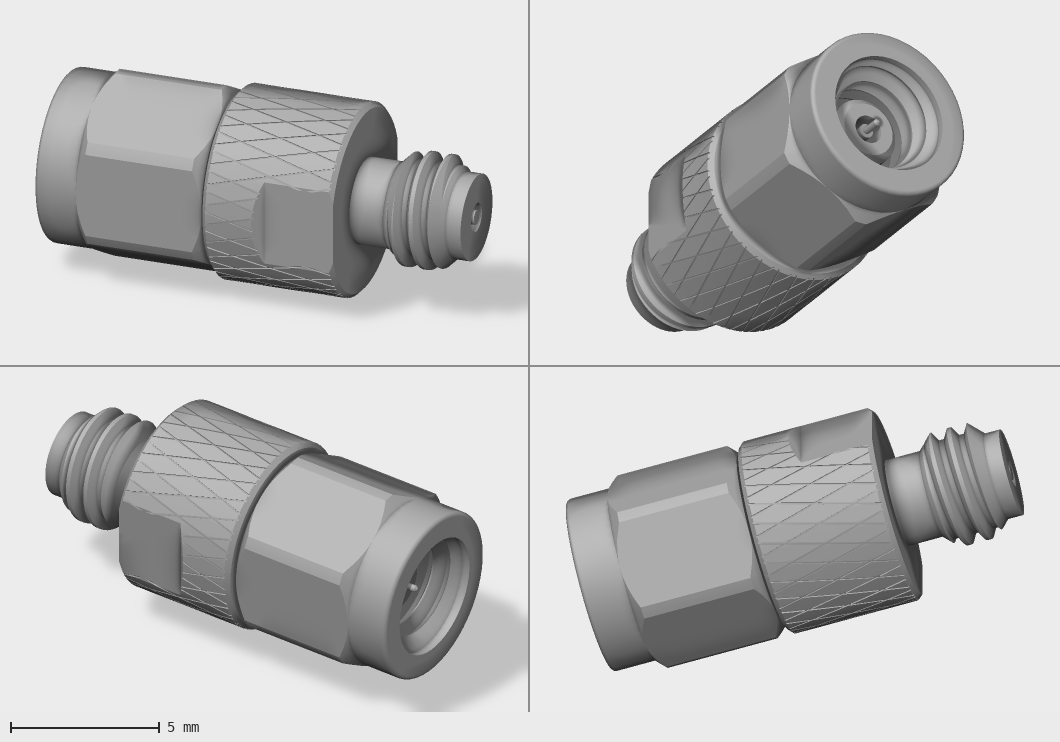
import cadquery as cq
import math


TOTAL_LENGTH = 14.79
OUTER_RADIUS = 3.35
FLAT_DISTANCE = 3.0
THREAD_PITCH = 0.7
THREAD_MAJOR_RADIUS = 2.0
FLANK_SLOPE = math.tan(math.radians(30))
OVERRUN = 0.07
OVERLAP = 0.03

HEX_START = 1.5
NUT_END = 6.03
COLLAR_EDGE_RADIUS = 0.15
MOUTH_RADIUS = 2.1
MOUTH_DEPTH = 0.3
NUT_THREAD_MINOR_RADIUS = 1.57
NUT_THREAD_ROOT_WIDTH = 0.15
NUT_THREAD_TURNS = 5
NUT_THREAD_START = -0.28

SLEEVE_START = 1.35
SLEEVE_RADIUS = 1.2
SLEEVE_CHAMFER = 0.25
NECK_START = 3.0
NECK_RADIUS = 2.13
BAND_START = 6.14
BAND_END = 10.78
BAND_CHAMFER = 0.16
FLAT_START = 8.3
SHAFT_RADIUS = 1.5
BORE_RADIUS = 0.5

KNURL_COUNT = 30
KNURL_ANGLE = 15.0
KNURL_DEPTH = 0.05
KNURL_WIDTH = 0.06

BARREL_THREAD_START = 11.98
BARREL_THREAD_END = 14.26
BARREL_THREAD_CORE_RADIUS = 1.67
BARREL_THREAD_CREST_WIDTH = 0.15
BARREL_THREAD_TURNS = 5
BARREL_RIDGE_START = 11.43

PIN_START = 0.7
PIN_STEP = 1.48
PIN_RADIUS = 0.25
PIN_TIP_RADIUS = 0.12
PIN_TIP_CHAMFER = 0.07


def across_axis(x):
    """Workplane square to the X axis, with local x along +Y and local y along +Z."""
    return cq.Workplane(cq.Plane(origin=(x, 0, 0), xDir=(0, 1, 0), normal=(1, 0, 0)))


def cylinder(radius, start, end):
    return across_axis(start).circle(radius).extrude(end - start)


def turned(profile):
    """Solid of revolution about the X axis from (x, radius) points."""
    return cq.Workplane("XY").polyline(profile).close().revolve(360, (0, 0, 0), (1, 0, 0))


def helical_bar(inner_radius, outer_radius, outer_width, start, turns):
    """Right-handed thread form, narrower at its outer radius, whose centre starts at +Y."""
    inner_width = outer_width + 2 * FLANK_SLOPE * (outer_radius - inner_radius)
    path = cq.Wire.makeHelix(THREAD_PITCH, turns * THREAD_PITCH, inner_radius)
    form = [
        (inner_radius, -inner_width / 2),
        (outer_radius, -outer_width / 2),
        (outer_radius, outer_width / 2),
        (inner_radius, inner_width / 2),
    ]
    bar = cq.Workplane("XZ").polyline(form).close().sweep(cq.Workplane(obj=path), isFrenet=True)
    return cq.Workplane(obj=bar.val().moved(cq.Location(across_axis(start).plane)))


def make_nut():
    corner_height = OUTER_RADIUS - FLAT_DISTANCE
    blank = turned([
        (HEX_START, 0),
        (HEX_START, FLAT_DISTANCE),
        (HEX_START + corner_height, OUTER_RADIUS),
        (NUT_END - corner_height, OUTER_RADIUS),
        (NUT_END, FLAT_DISTANCE),
        (NUT_END, 0),
    ])
    hexagon = (
        across_axis(HEX_START)
        .polygon(6, 2 * FLAT_DISTANCE, circumscribed=True)
        .extrude(NUT_END - HEX_START)
    )
    collar = cylinder(FLAT_DISTANCE, 0, HEX_START).faces("<X").edges().fillet(COLLAR_EDGE_RADIUS)

    thread_bore = cylinder(NUT_THREAD_MINOR_RADIUS, 0, NUT_END)
    groove = helical_bar(
        NUT_THREAD_MINOR_RADIUS - OVERLAP,
        THREAD_MAJOR_RADIUS,
        NUT_THREAD_ROOT_WIDTH,
        NUT_THREAD_START,
        NUT_THREAD_TURNS,
    )
    lead_in_end = MOUTH_DEPTH + MOUTH_RADIUS - NUT_THREAD_MINOR_RADIUS
    mouth = turned([
        (0, 0),
        (0, MOUTH_RADIUS),
        (MOUTH_DEPTH, MOUTH_RADIUS),
        (lead_in_end, NUT_THREAD_MINOR_RADIUS),
        (lead_in_end, 0),
    ])
    rear_bore = cylinder(NECK_RADIUS, NECK_START, NUT_END)
    body = blank.intersect(hexagon).union(collar)
    return body.cut(thread_bore).cut(groove).cut(mouth).cut(rear_bore)


def knurl_groove_sets():
    """Cutters for both hands of the knurl, crossing at the middle of the band on the +Z line.

    A slab tilted about Z meets the surface in one groove above the axis and in one of the
    opposite hand below it.
    """
    middle = (BAND_START + BAND_END) / 2
    length = 2 * (BAND_END - BAND_START)
    slab = (
        cq.Workplane("XY")
        .box(length, KNURL_WIDTH, 2 * OUTER_RADIUS + 2 * OVERRUN)
        .rotate((0, 0, 0), (0, 0, 1), KNURL_ANGLE)
        .translate((middle, 0, 0))
    )
    floor = cylinder(OUTER_RADIUS - KNURL_DEPTH, BAND_START - OVERRUN, BAND_END + OVERRUN)
    surface = cylinder(OUTER_RADIUS + OVERRUN, BAND_START - OVERRUN, BAND_END + OVERRUN).cut(floor)
    grooves = surface.intersect(slab)
    sets = []
    for side in (">Z", "<Z"):
        groove = grooves.solids(side).val()
        turns = [i * 360 / KNURL_COUNT for i in range(KNURL_COUNT)]
        sets.append([groove.rotate(cq.Vector(0, 0, 0), cq.Vector(1, 0, 0), turn) for turn in turns])
    return sets


def wrench_flat_cutter():
    """Material beyond the +Y wrench flat, with a 45 degree ramp at its front."""
    rise = OUTER_RADIUS - FLAT_DISTANCE + OVERRUN
    return (
        cq.Workplane("XY")
        .moveTo(FLAT_START, FLAT_DISTANCE)
        .lineTo(FLAT_START - rise, FLAT_DISTANCE + rise)
        .lineTo(BAND_END, FLAT_DISTANCE + rise)
        .lineTo(BAND_END, FLAT_DISTANCE)
        .close()
        .extrude(OUTER_RADIUS, both=True)
    )


def make_band():
    band = cylinder(OUTER_RADIUS, BAND_START, BAND_END).edges().chamfer(BAND_CHAMFER)
    knurled = band.val()
    for grooves in knurl_groove_sets():
        knurled = knurled.cut(*grooves)
    band = cq.Workplane(obj=knurled)
    flat = wrench_flat_cutter()
    return band.cut(flat).cut(flat.mirror("XZ"))


def make_barrel_thread():
    """Threaded length, cut back at 45 degrees to the shaft at both ends."""
    rise = THREAD_MAJOR_RADIUS + OVERRUN - SHAFT_RADIUS
    envelope = turned([
        (BARREL_THREAD_START, 0),
        (BARREL_THREAD_START, SHAFT_RADIUS),
        (BARREL_THREAD_START + rise, SHAFT_RADIUS + rise),
        (BARREL_THREAD_END - rise, SHAFT_RADIUS + rise),
        (BARREL_THREAD_END, SHAFT_RADIUS),
        (BARREL_THREAD_END, 0),
    ])
    ridge = helical_bar(
        BARREL_THREAD_CORE_RADIUS - OVERLAP,
        THREAD_MAJOR_RADIUS,
        BARREL_THREAD_CREST_WIDTH,
        BARREL_RIDGE_START,
        BARREL_THREAD_TURNS,
    )
    core = cylinder(BARREL_THREAD_CORE_RADIUS, BARREL_THREAD_START, BARREL_THREAD_END)
    return core.intersect(envelope).union(ridge.intersect(envelope))


def make_barrel():
    sleeve = cylinder(SLEEVE_RADIUS, SLEEVE_START, NECK_START)
    sleeve = sleeve.faces("<X").edges().chamfer(SLEEVE_CHAMFER)
    neck = cylinder(NECK_RADIUS, NECK_START, BAND_START)
    shaft = cylinder(SHAFT_RADIUS, BAND_END, TOTAL_LENGTH)
    bore = cylinder(BORE_RADIUS, SLEEVE_START, TOTAL_LENGTH)
    solid = make_band().union(neck).union(sleeve).union(shaft).union(make_barrel_thread())
    return solid.cut(bore)


def make_pin():
    """Stepped pin centred in the bore, clear of the barrel all round."""
    return turned([
        (PIN_START, 0),
        (PIN_START, PIN_TIP_RADIUS - PIN_TIP_CHAMFER),
        (PIN_START + PIN_TIP_CHAMFER, PIN_TIP_RADIUS),
        (PIN_STEP, PIN_TIP_RADIUS),
        (PIN_STEP, PIN_RADIUS),
        (TOTAL_LENGTH, PIN_RADIUS),
        (TOTAL_LENGTH, 0),
    ])


nut = make_nut()
barrel = make_barrel()
pin = make_pin()

result = cq.Compound.makeCompound([nut.val(), barrel.val(), pin.val()])